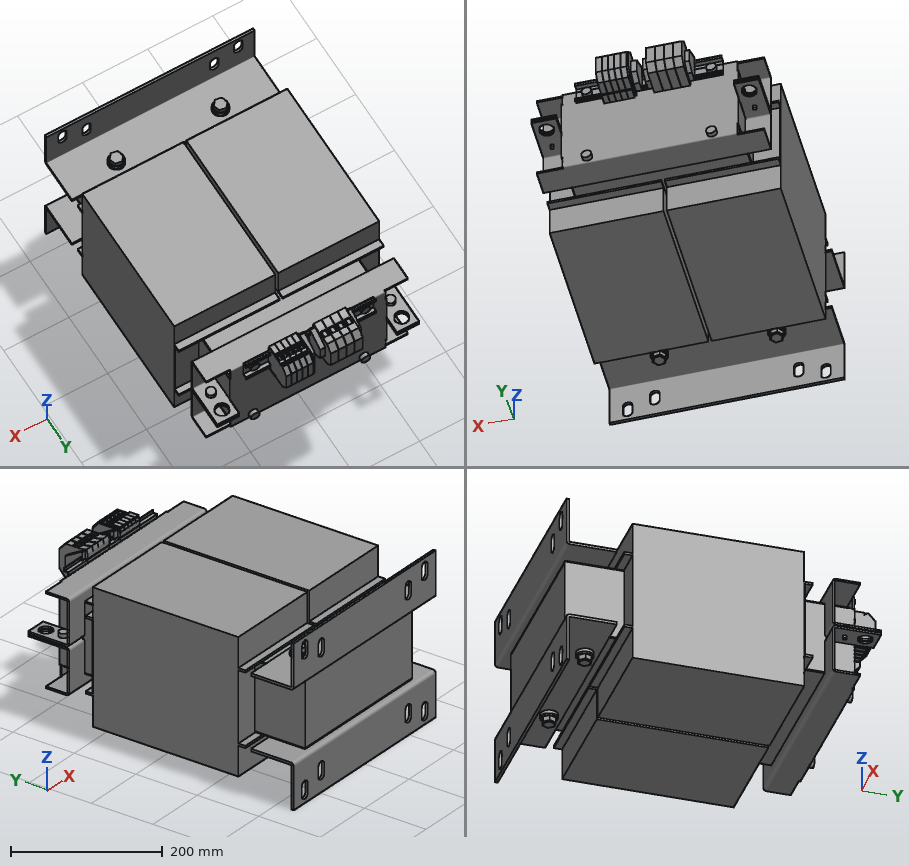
import cadquery as cq
import math


CORE_WIDTH = 241.0
CORE_HALF_HEIGHT = 53.0
CORE_FRONT = 10.0
CORE_REAR = 410.0
CLAMP_FACE = 54.5
STRIP_SIDE_INSET = 1.0
STRIP_FRONT_INSET = 1.0
STRIP_REAR_INSET = 7.0

COIL_OUTER_X = 157.5
COIL_GAP = 4.5
COIL_HALF_HEIGHT = 104.5
COIL_FRONT = 92.0
COIL_REAR = 329.0
LEDGE_OVERHANG = 11.5
LEDGE_CLEARANCE = 0.3
LEDGE_THICKNESS = 3.5
CHEEK_THICKNESS = 1.5
CHEEK_INSET = 1.0

BEND_OUTER = 5.0

ANGLE_WIDTH = 320.0
ANGLE_SHEET = 4.0
ANGLE_TOP = 125.0
ANGLE_DEPTH = 69.5
SLOT_WIDTH = 13.0
SLOT_LENGTH = 27.0
OUTER_SLOT = (135.0, 105.0)
INNER_SLOT = (98.0, 92.0)

BOLT_X = 80.0
BOLT_Y = 50.0
BOLT_WASHER_DIAMETER = 24.0
BOLT_HEX_FLATS = 17.0
BOLT_HEX_TURN = 50.0
WASHER_CHAMFER = 1.8
HEAD_WASHER_HEIGHT = 5.0
HEAD_HEIGHT = 7.5
NUT_WASHER_HEIGHT = 6.7
NUT_HEIGHT = 9.0
NUT_CHAMFER = 1.5

CHANNEL_WIDTH = 310.0
CHANNEL_SHEET = 3.0
CHANNEL_TOP = 72.5
CHANNEL_SPLIT = 1.5
WEB_FRONT = 369.0
FLANGE_REAR = 407.0
LIP_WIDTH = 238.0
LIP_BEND_RADIUS = 2.0
LIP_BOTTOM = CORE_HALF_HEIGHT
TAB_REAR = 436.0
TAB_WIDTH = 34.0
TAB_HOLE_DIAMETER = 20.0
TAB_HOLE_Y = 419.3
TAB_SCREW_Y = 391.0
TAB_X = (CHANNEL_WIDTH - TAB_WIDTH) / 2
TAB_TOP = CHANNEL_SPLIT / 2 + CHANNEL_SHEET

SCREW_HEAD_DIAMETER = 13.5
SCREW_HEAD_HEIGHT = 6.5
SHANK_DIAMETER = 5.0
SHANK_LENGTH = 4.0
TIP_DIAMETER = 7.5
TIP_LENGTH = 2.5
LIP_SCREW_X = 85.0
LIP_SCREW_Z = 63.0

RAIL_LENGTH = 200.0
RAIL_HEIGHT = 35.0
RAIL_BASE_HEIGHT = 27.0
RAIL_DEPTH = 7.5
RAIL_SHEET = 1.0

TERMINAL_SEAT = 411.0
TERMINAL_REAR = 457.1
TERMINAL_BOTTOM = 37.6
TERMINAL_TOP = 88.4
TERMINAL_CHAMFER_Y = 9.8
TERMINAL_CHAMFER_Z = 10.8
FOOT_HEIGHT = 2.6
FOOT_FRONT = 412.5
FOOT_REAR = 427.0
SEAT_CHAMFER = 4.0
TERMINAL_SHOULDER = 422.2
JOINT_WIDTH = 0.3
JOINT_DEPTH = 1.0
RECESS_DEPTH = 3.0
LARGE_BANK = (-55.8, 12.25, 4)
LARGE_RECESS = (426.8, 7.0, 9.7)
LARGE_BROW = 2.2
SMALL_BANK = (19.7, 8.4, 5)
SMALL_RECESS = (429.5, 4.0, 7.5)
SMALL_BROW = 0.0
SMALL_END_PLATE = 2.4
MARKER_GROOVE = (442.0, 3.5)

CLAMP_SEAT = 415.0
CLAMP_CREST = 417.0
CLAMP_SHOULDER = 428.7
CLAMP_REAR = 442.8
CLAMP_BOTTOM = 44.0
CLAMP_REAR_BOTTOM = 52.0
CLAMP_REAR_TOP = 73.8
CLAMP_TOP = 88.0
END_CLAMPS = ((-62.3, 6.5), (-6.8, 8.0), (9.3, 8.0))


def box(x_range, y_range, z_range):
    size = [high - low for low, high in (x_range, y_range, z_range)]
    corner = (x_range[0], y_range[0], z_range[0])
    return cq.Workplane("XY").box(*size, centered=False).translate(corner)


def extrude_along_x(points, x_start, length):
    """Extrude a closed (Y, Z) outline towards +X."""
    return cq.Workplane("YZ").polyline(points).close().extrude(length).translate((x_start, 0, 0))


def cylinder_y(x, y, z, diameter, length):
    """Cylinder running from y towards +Y."""
    start = cq.Plane(origin=(x, y, z), xDir=(1, 0, 0), normal=(0, 1, 0))
    return cq.Workplane(start).circle(diameter / 2).extrude(length)


def cylinder_z(x, y, z, diameter, length):
    return cq.Workplane("XY", origin=(x, y, z)).circle(diameter / 2).extrude(length)


def mirrored_z(body):
    return body.union(body.mirror("XY"))


def make_core():
    half_width = CORE_WIDTH / 2
    core = box(
        (-half_width, half_width),
        (CORE_FRONT, CORE_REAR),
        (-CORE_HALF_HEIGHT, CORE_HALF_HEIGHT),
    )
    strips = box(
        (-half_width + STRIP_SIDE_INSET, half_width - STRIP_SIDE_INSET),
        (CORE_FRONT + STRIP_FRONT_INSET, CORE_REAR - STRIP_REAR_INSET),
        (-CLAMP_FACE, CLAMP_FACE),
    )
    return core.union(strips)


def make_coil():
    """Right-hand coil with a cheek at its rear and a ledge above and below the core."""
    x_range = (COIL_GAP / 2, COIL_OUTER_X)
    coil = box(x_range, (COIL_FRONT, COIL_REAR), (-COIL_HALF_HEIGHT, COIL_HALF_HEIGHT))
    ledge_base = CLAMP_FACE + LEDGE_CLEARANCE
    cheek = box(
        (COIL_GAP / 2, COIL_OUTER_X - CHEEK_INSET),
        (COIL_REAR, COIL_REAR + CHEEK_THICKNESS),
        (-ledge_base, ledge_base),
    )
    ledge = box(
        x_range,
        (COIL_FRONT - LEDGE_OVERHANG, COIL_REAR + LEDGE_OVERHANG),
        (ledge_base, ledge_base + LEDGE_THICKNESS),
    )
    return coil.union(cheek).union(mirrored_z(ledge))


def make_front_angle():
    """Upper mounting angle: a flange on the core and a slotted upright at Y = 0."""
    half_width = ANGLE_WIDTH / 2
    outer = box((-half_width, half_width), (0, ANGLE_DEPTH), (CLAMP_FACE, ANGLE_TOP))
    inner = box(
        (-half_width, half_width),
        (ANGLE_SHEET, ANGLE_DEPTH),
        (CLAMP_FACE + ANGLE_SHEET, ANGLE_TOP),
    )
    outer = outer.edges("|X and <Y and <Z").fillet(BEND_OUTER)
    inner = inner.edges("|X and <Y and <Z").fillet(BEND_OUTER - ANGLE_SHEET)
    angle = outer.cut(inner)
    centres = [(side * x, z) for x, z in (OUTER_SLOT, INNER_SLOT) for side in (-1, 1)]
    slots = (
        cq.Workplane("XZ")
        .pushPoints(centres)
        .slot2D(SLOT_LENGTH, SLOT_WIDTH, 90)
        .extrude(ANGLE_SHEET, both=True)
    )
    return angle.cut(slots)


def hexagon_prism(height):
    corner_diameter = BOLT_HEX_FLATS / math.cos(math.pi / 6)
    prism = cq.Workplane("XY").polygon(6, corner_diameter).extrude(height)
    return prism.rotate((0, 0, 0), (0, 0, 1), BOLT_HEX_TURN)


def make_clamp_bolt(x):
    """Bolt head above the upper angle and nut below the lower angle."""
    seat = CLAMP_FACE + ANGLE_SHEET
    head_base = seat + HEAD_WASHER_HEIGHT
    nut_base = seat + NUT_WASHER_HEIGHT
    head_washer = cylinder_z(x, BOLT_Y, seat, BOLT_WASHER_DIAMETER, HEAD_WASHER_HEIGHT)
    head_washer = head_washer.faces(">Z").chamfer(WASHER_CHAMFER)
    nut_washer = cylinder_z(x, BOLT_Y, -seat, BOLT_WASHER_DIAMETER, -NUT_WASHER_HEIGHT)
    nut_washer = nut_washer.faces("<Z").chamfer(WASHER_CHAMFER)
    head = hexagon_prism(HEAD_HEIGHT).translate((x, BOLT_Y, head_base))
    nut = hexagon_prism(-NUT_HEIGHT).faces("<Z").chamfer(NUT_CHAMFER)
    nut = nut.translate((x, BOLT_Y, -nut_base))
    return head_washer.union(head).union(nut_washer).union(nut)


def make_rear_channel():
    """Upper rear channel: web, top flange with a turned-down lip, and two lifting tabs."""
    half_width = CHANNEL_WIDTH / 2
    x_range = (-half_width, half_width)
    bottom = CHANNEL_SPLIT / 2
    inner_radius = BEND_OUTER - CHANNEL_SHEET
    web_rear = WEB_FRONT + CHANNEL_SHEET

    outer = box(x_range, (WEB_FRONT, TAB_REAR), (bottom, CHANNEL_TOP))
    outer = outer.edges("|X and <Y").fillet(BEND_OUTER)
    inner = box(x_range, (web_rear, TAB_REAR), (bottom + CHANNEL_SHEET, CHANNEL_TOP - CHANNEL_SHEET))
    inner = inner.edges("|X and <Y").fillet(inner_radius)
    channel = outer.cut(inner)
    channel = channel.cut(box(x_range, (FLANGE_REAR, TAB_REAR), (TAB_TOP, CHANNEL_TOP)))
    inside_tabs = half_width - TAB_WIDTH
    channel = channel.cut(box((-inside_tabs, inside_tabs), (web_rear, TAB_REAR), (bottom, TAB_TOP)))
    for side in (-1, 1):
        channel = channel.cut(cylinder_z(side * TAB_X, TAB_HOLE_Y, bottom, TAB_HOLE_DIAMETER, CHANNEL_SHEET))

    lip = box(
        (-LIP_WIDTH / 2, LIP_WIDTH / 2),
        (FLANGE_REAR, FLANGE_REAR + CHANNEL_SHEET),
        (LIP_BOTTOM, CHANNEL_TOP),
    )
    lip = lip.edges("|X and >Y and >Z").fillet(LIP_BEND_RADIUS)
    return channel.union(lip)


def make_tab_screw(x):
    """Screw tying the tabs of both channels together."""
    screw = cylinder_z(x, TAB_SCREW_Y, TAB_TOP, SCREW_HEAD_DIAMETER, SCREW_HEAD_HEIGHT)
    shank_length = 2 * TAB_TOP + SHANK_LENGTH
    return screw.union(cylinder_z(x, TAB_SCREW_Y, TAB_TOP, SHANK_DIAMETER, -shank_length))


def make_lip_screw(x, z):
    """Screw through a channel lip, head to the rear."""
    lip_rear = FLANGE_REAR + CHANNEL_SHEET
    shank_front = FLANGE_REAR - SHANK_LENGTH
    head = cylinder_y(x, lip_rear, z, SCREW_HEAD_DIAMETER, SCREW_HEAD_HEIGHT)
    shank = cylinder_y(x, shank_front, z, SHANK_DIAMETER, SHANK_LENGTH + CHANNEL_SHEET)
    tip = cylinder_y(x, shank_front - TIP_LENGTH, z, TIP_DIAMETER, TIP_LENGTH)
    return head.union(shank).union(tip)


def make_rail():
    base = CORE_REAR
    crown = base + RAIL_DEPTH
    half_base = RAIL_BASE_HEIGHT / 2
    half_height = RAIL_HEIGHT / 2
    x_range = (-RAIL_LENGTH / 2, RAIL_LENGTH / 2)
    hat = box(x_range, (base, crown), (-half_base, half_base))
    brim = box(x_range, (crown - RAIL_SHEET, crown), (-half_height, half_height))
    half_hollow = half_base - RAIL_SHEET
    hollow = box(x_range, (base + RAIL_SHEET, crown), (-half_hollow, half_hollow))
    return hat.union(brim).cut(hollow).translate((0, 0, LIP_SCREW_Z))


def terminal_outline(brow, inset=0.0):
    """Closed (Y, Z) outline of a terminal block, shrunk by an inset on its free sides.

    The brow is how far the top rises between the shoulder and the end near the rail.
    """
    rear = TERMINAL_REAR - inset
    bottom = TERMINAL_BOTTOM + inset
    top = TERMINAL_TOP - inset
    return [
        (TERMINAL_SEAT, bottom + SEAT_CHAMFER),
        (FOOT_FRONT, bottom),
        (rear - TERMINAL_CHAMFER_Y, bottom),
        (rear, bottom + TERMINAL_CHAMFER_Z),
        (rear, top - TERMINAL_CHAMFER_Z),
        (rear - TERMINAL_CHAMFER_Y, top),
        (TERMINAL_SHOULDER, top),
        (FOOT_FRONT, top + brow),
        (TERMINAL_SEAT, top - SEAT_CHAMFER),
    ]


def make_terminal_bank(bank, recess, brow):
    """Row of terminal blocks parted by shallow joints, each with a wire recess on top."""
    left, pitch, count = bank
    recess_front, recess_width, recess_length = recess
    body = extrude_along_x(terminal_outline(brow), left, pitch * count)
    joint_left = left - JOINT_WIDTH / 2
    joint = extrude_along_x(terminal_outline(brow), joint_left, JOINT_WIDTH)
    joint = joint.cut(extrude_along_x(terminal_outline(brow, JOINT_DEPTH), joint_left, JOINT_WIDTH))
    for index in range(1, count):
        body = body.cut(joint.translate((index * pitch, 0, 0)))
    for index in range(count):
        recess_left = left + index * pitch + (pitch - recess_width) / 2
        recess_box = box(
            (recess_left, recess_left + recess_width),
            (recess_front, recess_front + recess_length),
            (TERMINAL_TOP - RECESS_DEPTH, TERMINAL_TOP),
        )
        body = body.cut(recess_box)
    return body


def make_end_clamp(x_start, width):
    outline = [
        (CLAMP_SEAT, CLAMP_BOTTOM),
        (CLAMP_SHOULDER, CLAMP_BOTTOM),
        (CLAMP_REAR, CLAMP_REAR_BOTTOM),
        (CLAMP_REAR, CLAMP_REAR_TOP),
        (CLAMP_CREST, CLAMP_TOP),
        (CLAMP_SEAT, CLAMP_TOP),
    ]
    return extrude_along_x(outline, x_start, width)


def make_small_bank():
    """Bank with a sloping marker groove, a left end plate and two feet on every block."""
    left, pitch, count = SMALL_BANK
    groove_front, groove_width = MARKER_GROOVE
    bank = make_terminal_bank(SMALL_BANK, SMALL_RECESS, SMALL_BROW)
    groove_outline = [
        (groove_front, TERMINAL_TOP - RECESS_DEPTH),
        (groove_front, TERMINAL_TOP),
        (groove_front + groove_width, TERMINAL_TOP),
    ]
    groove = extrude_along_x(groove_outline, left, pitch * count)
    bank = bank.cut(groove)
    for index in range(count):
        block_left = left + index * pitch
        feet = box(
            (block_left + JOINT_WIDTH / 2, block_left + pitch - JOINT_WIDTH / 2),
            (FOOT_FRONT, FOOT_REAR),
            (TERMINAL_BOTTOM - FOOT_HEIGHT, TERMINAL_TOP + FOOT_HEIGHT),
        )
        bank = bank.union(feet)
    plate = terminal_outline(SMALL_BROW, JOINT_DEPTH)
    return bank.union(extrude_along_x(plate, left - SMALL_END_PLATE, SMALL_END_PLATE))


right_coil = make_coil()
result = make_core().union(right_coil).union(right_coil.mirror("YZ"))
result = result.union(mirrored_z(make_front_angle()))
result = result.union(mirrored_z(make_rear_channel()))
result = result.union(make_rail())
for side in (-1, 1):
    result = result.union(make_clamp_bolt(side * BOLT_X))
    result = result.union(make_tab_screw(side * TAB_X))
    for level in (-1, 1):
        result = result.union(make_lip_screw(side * LIP_SCREW_X, level * LIP_SCREW_Z))
result = result.union(make_terminal_bank(LARGE_BANK, LARGE_RECESS, LARGE_BROW))
result = result.union(make_small_bank())
for clamp_left, clamp_width in END_CLAMPS:
    result = result.union(make_end_clamp(clamp_left, clamp_width))